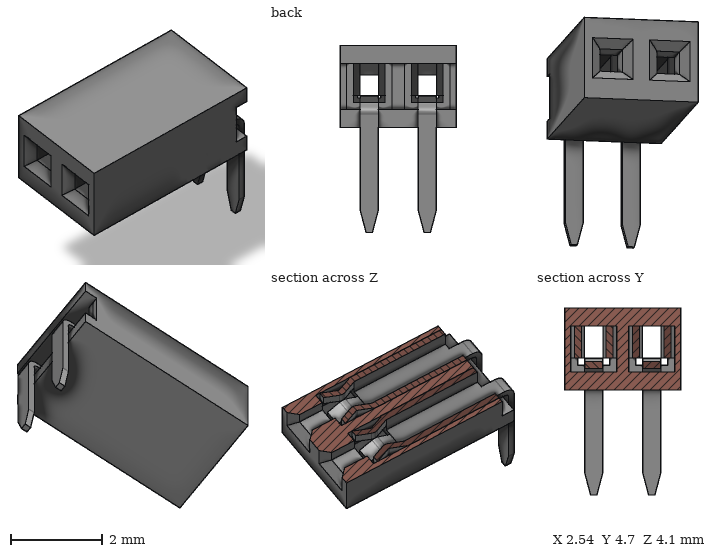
import cadquery as cq
import math


pitch = 1.27
contact_count = 2
housing_width = pitch * contact_count
housing_length = 4.4
housing_height = 1.8
rear_slot_depth = 0.3
rear_slot_height = 1.0
rear_wall_y = housing_length - rear_slot_depth
entry_center_z = housing_height / 2

entry_size = 0.5
lead_in_depth = 0.2
lead_in_size = entry_size + 2 * lead_in_depth
cavity_size = 1.0
cavity_front_y = 0.8
cavity_bottom_z = entry_center_z - cavity_size / 2
cavity_top_z = entry_center_z + cavity_size / 2

sheet = 0.15
tail_bend_inner_radius = 0.1
tail_bend_outer_radius = tail_bend_inner_radius + sheet
leaf_crest_y = 1.3
leaf_gap = 0.4
leaf_bend_inner_radius = 0.05
leaf_bend_outer_radius = leaf_bend_inner_radius + sheet
leaf_slope_angle = math.radians(22.5)
leaf_crest_height = (cavity_size - leaf_gap) / 2
tail_width = 0.4
tail_rear_y = 4.7
tail_bottom_z = -2.3
tail_top_z = cavity_bottom_z + sheet
tip_length = 0.49
tip_width = 0.14

bend_center_height = leaf_crest_height - leaf_bend_outer_radius
wall_face_reach = (
    leaf_bend_inner_radius / math.sin(leaf_slope_angle) + bend_center_height / math.tan(leaf_slope_angle)
)
leaf_reach = wall_face_reach + sheet * math.tan(leaf_slope_angle / 2)
channel_front_y = leaf_crest_y + leaf_reach

contact_centers_x = [(i - (contact_count - 1) / 2) * pitch for i in range(contact_count)]


def make_box(x_range, y_range, z_range):
    size = [high - low for low, high in (x_range, y_range, z_range)]
    corner = (x_range[0], y_range[0], z_range[0])
    return cq.Workplane("XY").box(*size, centered=False).translate(corner)


def make_lead_in():
    """Square funnel narrowing from the mating face to the entry hole."""
    return (
        cq.Workplane("XZ")
        .rect(lead_in_size, lead_in_size)
        .workplane(offset=-lead_in_depth)
        .rect(entry_size, entry_size)
        .loft(ruled=True)
        .translate((0, 0, entry_center_z))
    )


def make_housing():
    half_width = housing_width / 2
    body = make_box((-half_width, half_width), (0, housing_length), (0, housing_height))
    rear_slot = make_box(
        (-half_width, half_width),
        (rear_wall_y, housing_length),
        (entry_center_z - rear_slot_height / 2, entry_center_z + rear_slot_height / 2),
    )
    body = body.cut(rear_slot)
    half_entry = entry_size / 2
    entry = make_box(
        (-half_entry, half_entry),
        (0, cavity_front_y),
        (entry_center_z - half_entry, entry_center_z + half_entry),
    )
    cavity = make_box(
        (-cavity_size / 2, cavity_size / 2),
        (cavity_front_y, rear_wall_y),
        (cavity_bottom_z, cavity_top_z),
    )
    opening = cavity.union(entry).union(make_lead_in())
    for x in contact_centers_x:
        body = body.cut(opening.translate((x, 0, 0)))
    return body


def make_channel():
    """U-shaped base of the contact, open at the top."""
    half = cavity_size / 2
    outer = make_box((-half, half), (channel_front_y, rear_wall_y), (cavity_bottom_z, cavity_top_z))
    inside = make_box(
        (-half + sheet, half - sheet),
        (channel_front_y, rear_wall_y),
        (tail_top_z, cavity_top_z),
    )
    return outer.cut(inside)


def make_floor_leaf(x_low, x_high):
    """Leaf standing on the cavity floor, rising to a rounded crest and falling again to its tip."""

    def arc_end(radius):
        along = radius * math.sin(leaf_slope_angle)
        height = bend_center_height + radius * math.cos(leaf_slope_angle)
        return along, height

    wall_arc_along, wall_arc_height = arc_end(leaf_bend_inner_radius)
    inner_arc_along, inner_arc_height = arc_end(leaf_bend_outer_radius)
    return (
        cq.Workplane("YZ", origin=(x_low, leaf_crest_y, cavity_bottom_z))
        .moveTo(leaf_reach, 0)
        .lineTo(wall_face_reach, 0)
        .lineTo(wall_arc_along, wall_arc_height)
        .threePointArc((0, bend_center_height + leaf_bend_inner_radius), (-wall_arc_along, wall_arc_height))
        .lineTo(-wall_face_reach, 0)
        .lineTo(-leaf_reach, 0)
        .lineTo(-leaf_reach, sheet)
        .lineTo(-inner_arc_along, inner_arc_height)
        .threePointArc((0, leaf_crest_height), (inner_arc_along, inner_arc_height))
        .lineTo(leaf_reach, sheet)
        .close()
        .extrude(x_high - x_low)
    )


def make_leaves():
    floor_leaf = make_floor_leaf(-leaf_gap / 2, leaf_gap / 2)
    side_leaf = make_floor_leaf(-cavity_size / 2, leaf_gap / 2).rotate(
        (0, 0, entry_center_z), (0, 1, entry_center_z), 90
    )
    return [floor_leaf, side_leaf, side_leaf.mirror("YZ")]


def make_tail():
    """Flat tail leaving the channel floor, bent down and tapered to a narrow tip."""
    bent_strip = (
        cq.Workplane("YZ")
        .moveTo(rear_wall_y, tail_top_z)
        .lineTo(tail_rear_y - tail_bend_outer_radius, tail_top_z)
        .radiusArc((tail_rear_y, tail_top_z - tail_bend_outer_radius), tail_bend_outer_radius)
        .lineTo(tail_rear_y, tail_bottom_z)
        .lineTo(tail_rear_y - sheet, tail_bottom_z)
        .lineTo(tail_rear_y - sheet, cavity_bottom_z - tail_bend_inner_radius)
        .radiusArc((tail_rear_y - tail_bend_outer_radius, cavity_bottom_z), -tail_bend_inner_radius)
        .lineTo(rear_wall_y, cavity_bottom_z)
        .close()
        .extrude(tail_width / 2, both=True)
    )
    taper_top_z = tail_bottom_z + tip_length
    front_shape = (
        cq.Workplane("XZ", origin=(0, tail_rear_y, 0))
        .polyline([
            (-tail_width / 2, tail_top_z),
            (tail_width / 2, tail_top_z),
            (tail_width / 2, taper_top_z),
            (tip_width / 2, tail_bottom_z),
            (-tip_width / 2, tail_bottom_z),
            (-tail_width / 2, taper_top_z),
        ])
        .close()
        .extrude(tail_rear_y - rear_wall_y)
    )
    return bent_strip.intersect(front_shape)


def make_contact():
    contact = make_channel().union(make_tail())
    for leaf in make_leaves():
        contact = contact.union(leaf)
    return contact


housing = make_housing().solids()
contact = make_contact().solids()
contacts = [contact.translate((x, 0, 0)) for x in contact_centers_x]

result = cq.Compound.makeCompound([housing.val(), *[placed.val() for placed in contacts]])